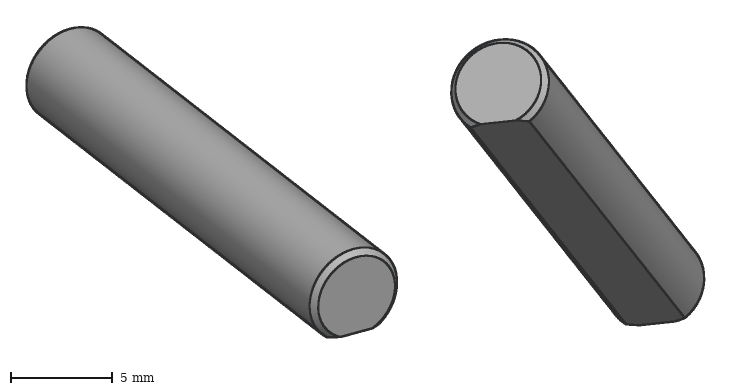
import cadquery as cq

length = 28
diameter = 5.0
height = 4.5
chamfer = 0.3

radius = diameter / 2
flat_z = radius - height

pin = cq.Workplane("YZ").circle(radius).extrude(length).faces("<X or >X").chamfer(chamfer)

above_flat = cq.Workplane("XY").workplane(offset=flat_z).rect(2 * length, 2 * diameter).extrude(height)

result = pin.intersect(above_flat)